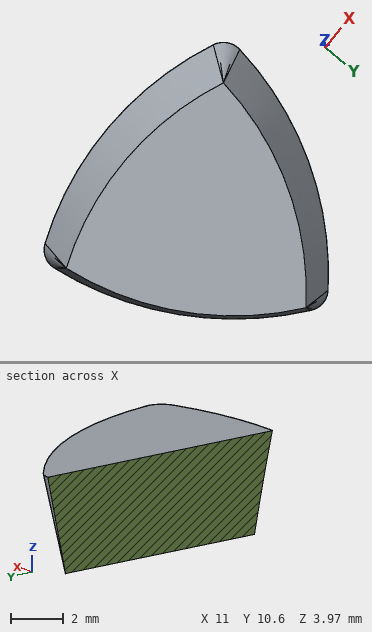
import cadquery as cq
import math

base_half_width = 4.65
base_apex_y = 5.30
base_lower_y = -2.65
flank_distance = 3.60
thickness = 3.97
flare_angle = 12.0

FIRST_FLANK_ANGLE = 150
FLANK_STEP = 120


def flank_middle(side):
    """Middle point of a bowed base side, counted counter-clockwise."""
    angle = math.radians(FIRST_FLANK_ANGLE + side * FLANK_STEP)
    return (flank_distance * math.cos(angle), flank_distance * math.sin(angle))


def base_outline():
    """Three sharp corners joined by outward-bowed arcs."""
    apex = (0, base_apex_y)
    lower_left = (-base_half_width, base_lower_y)
    lower_right = (base_half_width, base_lower_y)

    outline = cq.Workplane("XY").moveTo(*apex)
    for side, corner in enumerate((lower_left, lower_right, apex)):
        outline = outline.threePointArc(flank_middle(side), corner)
    return outline.close()


result = base_outline().extrude(thickness, taper=-flare_angle)